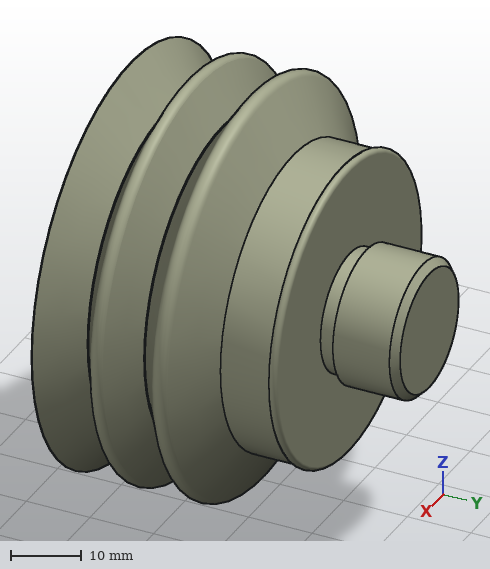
import cadquery as cq
import math

outer_radius = 63 / 2
groove_radius = 24.7
lip_edge_width = 0.1
front_groove_y = 5.55
rear_groove_y = 14.4
groove_floor_width = 0.2

front_ridge_start = 9.0
front_ridge_end = 10.95
front_shoulder_radius = 31.0
rear_ridge_start = 18.6
rear_ridge_end = 21.1
rear_shoulder_radius = 30.75

collar_radius = 46 / 2
collar_start = 25.5
rim_radius = 23.45
rim_end = 34.45
rim_round_radius = 0.7
rim_center_radius = rim_radius - rim_round_radius
rim_center_y = rim_end - rim_round_radius
rim_start = rim_center_y - math.sqrt(rim_round_radius**2 - (collar_radius - rim_center_radius) ** 2)

neck_radius = 18.6 / 2
head_radius = 20.9 / 2
head_start = 37.0
total_length = 47.0
head_chamfer = 1.15


def add_ridge(profile, start, end, shoulder_radius):
    """Run up to a ridge and round over its tip."""
    return profile.lineTo(shoulder_radius, start).threePointArc(
        (outer_radius, (start + end) / 2), (shoulder_radius, end)
    )


def add_groove(profile, center):
    """Run down to a narrow flat groove floor."""
    return profile.lineTo(groove_radius, center - groove_floor_width / 2).lineTo(
        groove_radius, center + groove_floor_width / 2
    )


def disc(radius, start, end):
    """Cylinder along Y."""
    return cq.Workplane("XZ", origin=(0, start, 0)).circle(radius).extrude(start - end)


profile = cq.Workplane("XY").lineTo(outer_radius, 0).lineTo(outer_radius, lip_edge_width)
profile = add_groove(profile, front_groove_y)
profile = add_ridge(profile, front_ridge_start, front_ridge_end, front_shoulder_radius)
profile = add_groove(profile, rear_groove_y)
profile = add_ridge(profile, rear_ridge_start, rear_ridge_end, rear_shoulder_radius)
profile = profile.lineTo(collar_radius, collar_start).lineTo(collar_radius, rim_start)
profile = profile.threePointArc(
    (rim_radius, rim_center_y), (rim_center_radius, rim_end)
)
profile = profile.lineTo(0, rim_end)
bellows = profile.close().revolve(360, (0, 0, 0), (0, 1, 0))

neck = disc(neck_radius, rim_end, head_start)
head = disc(head_radius, head_start, total_length).faces(">Y").chamfer(head_chamfer)

result = bellows.union(neck).union(head)